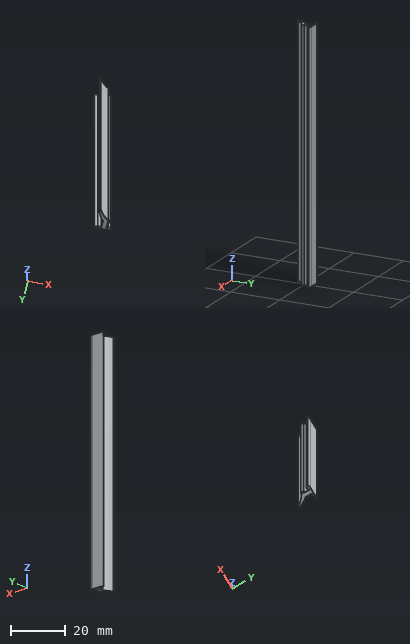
import cadquery as cq

length = 100.0
width = 6.2
depth = 7.6

right = width / 2
left = -right
top = depth / 2
bottom = -top

head_tip_thickness = 0.6
left_tip_radius = 0.3
head_underside = top - 0.7
left_bead_outer_x = -1.8
left_bead_low_point = (-1.0, top - 0.9)
top_flat_end_x = 2.0
right_shoulder_y = top - 0.4
right_bead_bottom = top - 1.2
right_bead_inner_x = 2.0
right_bead_radius = 0.3
right_shoulder_mid = (2.7, top - 0.2)

web_left = -0.4
web_right = 1.4
web_foot = 0.6
heel_right = 2.1
heel_top = 0.7
heel_bottom = -0.2
heel_radius = 0.2

lip_left = -2.5
lip_tip_width = 0.6
lip_tip_height = 0.9
lip_outer_mid = (-1.6, -1.1)
lip_inner_mid = (-0.3, -1.5)
lip_inner_end = (lip_left + lip_tip_width, bottom + 0.3)


def make_head():
    return (
        cq.Workplane("XY")
        .moveTo(left + left_tip_radius, top)
        .lineTo(top_flat_end_x, top)
        .threePointArc(right_shoulder_mid, (right, right_shoulder_y))
        .lineTo(right, right_bead_bottom + right_bead_radius)
        .radiusArc((right - right_bead_radius, right_bead_bottom), right_bead_radius)
        .lineTo(right_bead_inner_x, right_bead_bottom)
        .lineTo(web_right, head_underside)
        .lineTo(web_left, head_underside)
        .threePointArc(left_bead_low_point, (left_bead_outer_x, top - head_tip_thickness))
        .lineTo(left + left_tip_radius, top - head_tip_thickness)
        .radiusArc((left, top - left_tip_radius), left_tip_radius)
        .radiusArc((left + left_tip_radius, top), left_tip_radius)
        .close()
        .extrude(length)
    )


def make_web_and_lip():
    return (
        cq.Workplane("XY")
        .moveTo(web_left, head_underside)
        .lineTo(web_right, head_underside)
        .lineTo(web_right, heel_top)
        .lineTo(heel_right - heel_radius, heel_top)
        .radiusArc((heel_right, heel_top - heel_radius), heel_radius)
        .lineTo(heel_right, heel_bottom + heel_radius)
        .radiusArc((heel_right - heel_radius, heel_bottom), heel_radius)
        .lineTo(web_right, heel_bottom)
        .threePointArc(lip_inner_mid, lip_inner_end)
        .lineTo(lip_left + lip_tip_width / 2, bottom)
        .radiusArc((lip_left, bottom + lip_tip_width / 2), lip_tip_width / 2)
        .lineTo(lip_left, bottom + lip_tip_height)
        .threePointArc(lip_outer_mid, (web_left, web_foot))
        .close()
        .extrude(length)
    )


result = make_head().union(make_web_and_lip())